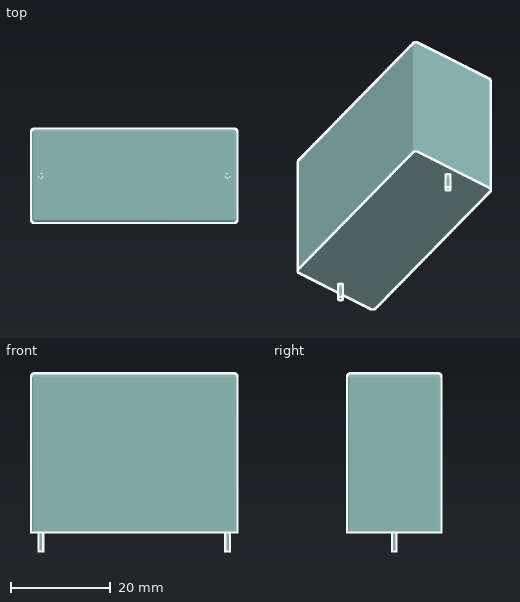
import cadquery as cq

housing_length = 41.5
housing_width = 19.0
overall_height = 35.8
pin_length = 3.8
housing_height = overall_height - pin_length
edge_radius = 0.8

pin_diameter = 1.0
pin_spacing = 37.5


def make_housing():
    """Block with rounded upright and top edges and a sharp-edged flat underside."""
    block = cq.Workplane("XY").box(
        housing_length, housing_width, housing_height, centered=(True, True, False)
    )
    return block.edges("|Z or >Z").fillet(edge_radius)


def make_pin(x_position):
    """Plain round pin whose upper end meets the underside of the housing."""
    return (
        cq.Workplane("XY")
        .center(x_position, 0)
        .circle(pin_diameter / 2)
        .extrude(-pin_length)
    )


housing = make_housing()

pins = []
for side in (-1, 1):
    pins.append(make_pin(side * pin_spacing / 2))

result = cq.Compound.makeCompound([housing.val(), *[pin.val() for pin in pins]])